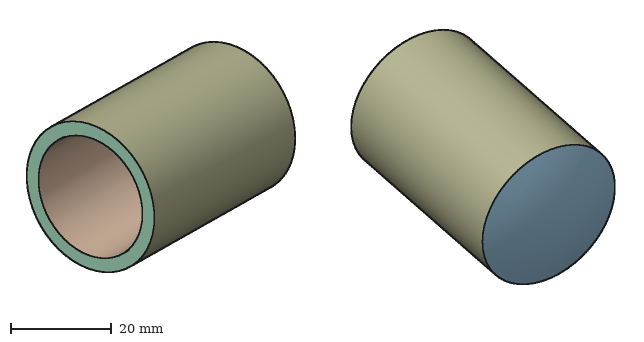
import cadquery as cq
import math

length = 49.15
outer_diameter = 32.0
wall = 3.0
dome_height = 3.0

outer_radius = outer_diameter / 2
inner_radius = outer_radius - wall
shoulder_y = length - dome_height

outer_sphere_radius = (outer_radius**2 + dome_height**2) / (2 * dome_height)
inner_sphere_radius = outer_sphere_radius - wall
sphere_center_y = length - outer_sphere_radius


def sphere_point(sphere_radius, x):
    """Profile point on a dome sphere at distance x from the axis."""
    return (x, sphere_center_y + math.sqrt(sphere_radius**2 - x**2))


profile = (
    cq.Workplane("XY")
    .moveTo(inner_radius, 0)
    .lineTo(outer_radius, 0)
    .lineTo(outer_radius, shoulder_y)
    .threePointArc(sphere_point(outer_sphere_radius, outer_radius / 2), (0, length))
    .lineTo(0, length - wall)
    .threePointArc(
        sphere_point(inner_sphere_radius, inner_radius / 2),
        sphere_point(inner_sphere_radius, inner_radius),
    )
    .close()
)

result = profile.revolve(360, (0, 0, 0), (0, 1, 0))